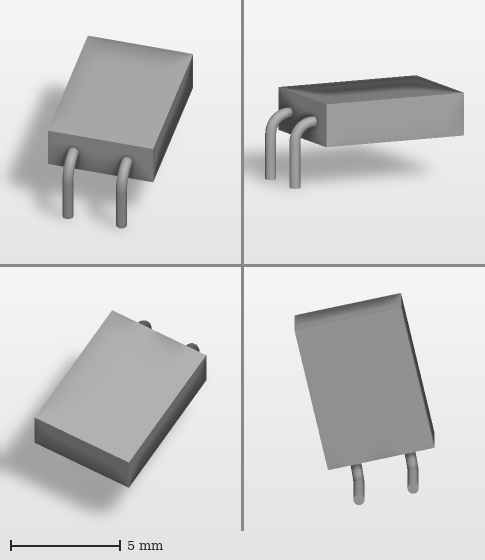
import cadquery as cq

total_length = 8.25
total_height = 4.0

housing_width = 5.0
housing_length = 7.0
housing_height = 2.0

lead_diameter = 0.5
lead_pitch = 2.54
bend_radius = 0.9

lead_exit_height = housing_height / 2
lead_reach = total_length - housing_length - lead_diameter / 2
straight_exit = lead_reach - bend_radius
lead_bottom = housing_height - total_height


def make_housing():
    """Plain block centred on X, extending toward +Y from its front face."""
    return cq.Workplane("XY").box(
        housing_width, housing_length, housing_height, centered=(True, False, False)
    )


def make_lead(x):
    """Round wire that leaves the front face at x and bends down through a right angle."""
    path = (
        cq.Workplane("YZ", origin=(x, 0, 0))
        .moveTo(0, lead_exit_height)
        .lineTo(-straight_exit, lead_exit_height)
        .tangentArcPoint((-lead_reach, lead_exit_height - bend_radius), relative=False)
        .lineTo(-lead_reach, lead_bottom)
    )
    section = cq.Workplane("XZ", origin=(x, 0, lead_exit_height)).circle(lead_diameter / 2)
    return section.sweep(path)


housing = make_housing()
leads = [make_lead(side * lead_pitch / 2) for side in (-1, 1)]

result = cq.Compound.makeCompound([housing.val(), *[lead.val() for lead in leads]])